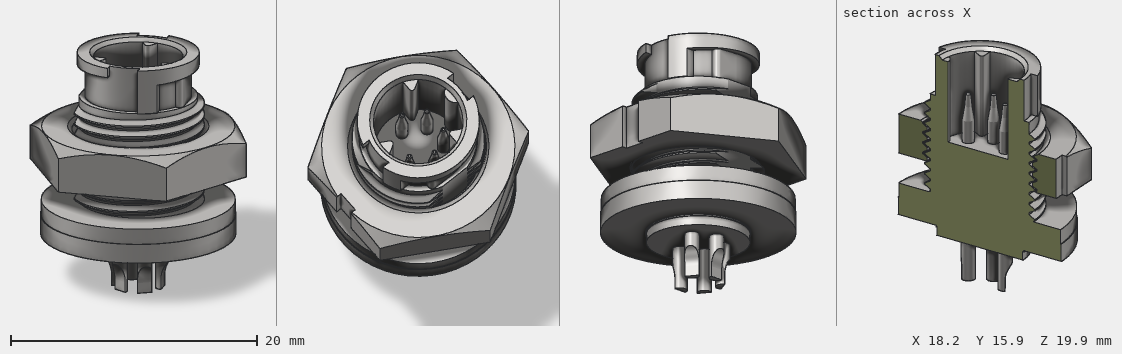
import cadquery as cq
import math

insert_bottom = 3.6
step_bottom = 4.35
flange_bottom = 4.48
washer_bottom = 6.07
washer_top = 7.35
nut_bottom = 10.02
nut_top = 13.58
shoulder_top = 16.21
mating_face = 19.89

insert_radius = 4.2
step_radius = 4.28
flange_radius = 7.94
washer_radius = 7.88

thread_root_radius = 4.81
thread_crest_radius = 5.37
thread_turns = 10
thread_rise = 9.09
thread_end_height = 15.7
thread_pitch = thread_rise / thread_turns
crest_half_width = 0.05
root_half_width = 0.38
thread_embed = 0.05
runout_length = 1.27
flat_distance = 4.63

bayonet_radius = 4.95
bayonet_core_radius = 4.34
entry_half_width = 1.25
post_end = 2.72
ramp_start_height = 18.6
ramp_end_height = 19.1
ramp_start_angle = -57.0
ramp_end_angle = 75.0
ramp_overrun = 4.0
detent_length = 2.2
detent_round = 0.38

bore_radius = 3.62
bore_chamfer = 0.32
cavity_depth = 7.55
key_tip_radius = 2.72
key_nose_radius = 0.25
key_half_angle = 30.0
key_angles = (90, 210, 330)
round_key_radius = 0.9
round_key_offset = 3.94

contact_circle = 2.07
contact_angles = (0, 120, 180, 240, 300)
contact_radius = 0.5
neck_radius = 0.3
contact_tip_radius = 0.2
contact_end_radius = 0.1
contact_tip_height = 16.69
contact_tip_round_height = 0.12
tip_length = 1.2
taper_length = 1.2
tail_radius = 0.6
tail_flat_height = 0.85
tail_scoop_radius = 2.3

nut_corner_diameter = 18.18
nut_flats = nut_corner_diameter * math.sqrt(3) / 2
nut_bore_radius = 5.1
nut_bore_mouth_radius = 5.73
nut_face_radius = 7.84
nut_chamfer_angle = 30.0
thread_clearance = 0.15
mark_width = 1.8
mark_depth = 0.45

overshoot = 0.2


def cylinder(radius, bottom, top):
    return cq.Workplane("XY").workplane(offset=bottom).circle(radius).extrude(top - bottom)


def cone(bottom_radius, top_radius, bottom, top):
    return (
        cq.Workplane("XY")
        .workplane(offset=bottom)
        .circle(bottom_radius)
        .workplane(offset=top - bottom)
        .circle(top_radius)
        .loft()
    )


def block(x_range, y_range, z_range):
    (x0, x1), (y0, y1), (z0, z1) = x_range, y_range, z_range
    return cq.Workplane("XY").box(x1 - x0, y1 - y0, z1 - z0, centered=False).translate((x0, y0, z0))


def turned(shape, angle):
    return shape.rotate((0, 0, 0), (0, 0, 1), angle)


def thread_ridge(clearance):
    """Right-hand helical ridge, moved outward by the radial clearance."""
    flank = (root_half_width - crest_half_width) / (thread_crest_radius - thread_root_radius)
    base_radius = thread_root_radius - thread_embed + clearance
    base_half = root_half_width + flank * thread_embed
    crest_radius = thread_crest_radius + clearance
    path = cq.Wire.makeHelix(thread_pitch, thread_rise, thread_root_radius)
    profile = cq.Workplane("XZ").polyline([
        (base_radius, -base_half),
        (crest_radius, -crest_half_width),
        (crest_radius, crest_half_width),
        (base_radius, base_half),
    ]).close()
    ridge = profile.sweep(cq.Workplane(path), isFrenet=True)
    return turned(ridge, 90).translate((0, 0, thread_end_height - thread_rise))


def base_disks():
    disks = cylinder(insert_radius, insert_bottom, step_bottom)
    disks = disks.union(cylinder(step_radius, step_bottom, flange_bottom))
    disks = disks.union(cylinder(flange_radius, flange_bottom, washer_bottom))
    return disks.union(cylinder(washer_radius, washer_bottom, washer_top))


def threaded_stud():
    runout_y = math.sqrt(thread_crest_radius**2 - runout_length**2)
    runout = (
        cq.Workplane("XY")
        .workplane(offset=thread_end_height - thread_pitch / 2)
        .polyline([
            (0, thread_root_radius),
            (runout_length, runout_y),
            (runout_length, thread_crest_radius + overshoot),
            (-overshoot, thread_crest_radius + overshoot),
            (-overshoot, thread_root_radius),
        ])
        .close()
        .extrude(thread_pitch)
    )
    stud = cylinder(thread_root_radius, washer_bottom, shoulder_top)
    stud = stud.union(thread_ridge(0).cut(runout))
    reach = 2 * thread_crest_radius
    flat = block((-reach, -flat_distance), (-reach, reach), (washer_top, shoulder_top))
    return stud.cut(flat)


def ramp_undercut():
    """Space below the locking ramp on the +X side; its ceiling rises from the post."""
    turn = ramp_end_angle - ramp_start_angle
    ramp_pitch = (ramp_end_height - ramp_start_height) * 360 / turn
    swept_angle = turn + 2 * ramp_overrun
    start_height = ramp_start_height - ramp_pitch * ramp_overrun / 360
    outside = bayonet_radius + overshoot
    path = cq.Wire.makeHelix(ramp_pitch, ramp_pitch * swept_angle / 360, bayonet_core_radius)
    depth = ramp_end_height - shoulder_top + overshoot
    profile = cq.Workplane("XZ").polyline([
        (bore_radius, 0),
        (outside, 0),
        (outside, -depth),
        (bore_radius, -depth),
    ]).close()
    space = profile.sweep(cq.Workplane(path), isFrenet=True)
    space = turned(space, ramp_start_angle - ramp_overrun).translate((0, 0, start_height))
    space = space.intersect(cylinder(outside + overshoot, shoulder_top, mating_face))
    post = block((0, post_end), (-outside, 0), (shoulder_top, mating_face))
    return space.cut(post).cut(cylinder(bayonet_core_radius, shoulder_top, mating_face))


def detent():
    """Square stop with one rounded corner beside the ramp on the +X side."""
    stop = block((0, bayonet_core_radius), (-detent_length, 0), (shoulder_top, ramp_start_height + overshoot))
    stop = stop.edges("|Z and >X and <Y").fillet(detent_round)
    return stop.cut(cylinder(bore_radius, shoulder_top, mating_face))



def bayonet():
    ring = cylinder(bayonet_radius, shoulder_top, mating_face)
    entries = block(
        (-entry_half_width, entry_half_width),
        (-flange_radius, flange_radius),
        (shoulder_top, mating_face),
    ).cut(cylinder(bayonet_core_radius, shoulder_top, mating_face))
    ring = ring.cut(entries)
    for angle in (0, 180):
        ring = ring.cut(turned(ramp_undercut(), angle))
        ring = ring.union(turned(detent(), angle))
    return ring


def cavity():
    floor = mating_face - cavity_depth
    rim = cone(bore_radius, bore_radius + bore_chamfer, mating_face - bore_chamfer, mating_face)
    return cylinder(bore_radius, floor, mating_face).union(rim)


def keys():
    floor = mating_face - cavity_depth
    length = cavity_depth - bore_chamfer
    half_angle = math.radians(key_half_angle)
    nose_centre = key_tip_radius + key_nose_radius
    tangent_x = nose_centre - key_nose_radius * math.sin(half_angle)
    tangent_y = key_nose_radius * math.cos(half_angle)
    base_x = bore_radius + overshoot
    base_y = tangent_y + (base_x - tangent_x) * math.tan(half_angle)
    wedge = (
        cq.Workplane("XY")
        .workplane(offset=floor)
        .moveTo(base_x, -base_y)
        .lineTo(tangent_x, -tangent_y)
        .threePointArc((key_tip_radius, 0), (tangent_x, tangent_y))
        .lineTo(base_x, base_y)
        .close()
        .extrude(length)
    )
    all_keys = cylinder(round_key_radius, floor, floor + length).translate((0, -round_key_offset, 0))
    for angle in key_angles:
        all_keys = all_keys.union(turned(wedge, angle))
    return all_keys.intersect(cylinder(bore_radius + overshoot, floor, mating_face))


def contact():
    """Pin and half-round solder tail on the +X side; the tail is cut away on its outer half."""
    neck_height = contact_tip_height - tip_length
    pin = (
        cq.Workplane("XZ")
        .polyline([
            (0, insert_bottom),
            (contact_radius, insert_bottom),
            (contact_radius, neck_height - taper_length),
            (neck_radius, neck_height),
            (contact_tip_radius, contact_tip_height - contact_tip_round_height),
            (contact_end_radius, contact_tip_height),
            (0, contact_tip_height),
        ])
        .close()
        .revolve(360, (0, 0, 0), (0, 1, 0))
    )
    tail = cylinder(tail_radius, 0, insert_bottom)
    scoop = (
        cq.Workplane("XZ")
        .center(tail_scoop_radius, tail_flat_height)
        .circle(tail_scoop_radius)
        .extrude(tail_radius, both=True)
    )
    flat = block((0, tail_radius), (-tail_radius, tail_radius), (0, tail_flat_height))
    return pin.union(tail.cut(scoop).cut(flat)).translate((contact_circle, 0, 0))


def make_housing():
    housing = base_disks().union(threaded_stud()).union(bayonet())
    housing = housing.cut(cavity()).union(keys())
    for angle in contact_angles:
        housing = housing.union(turned(contact(), angle))
    return housing


def nut_chamfer_drop(radial_width):
    return radial_width * math.tan(math.radians(nut_chamfer_angle))


def threaded_bore():
    bore = cylinder(nut_bore_radius, washer_top, shoulder_top)
    return bore.union(thread_ridge(thread_clearance))


def bore_mouth():
    depth = nut_chamfer_drop(nut_bore_mouth_radius - nut_bore_radius)
    return cone(nut_bore_radius, nut_bore_mouth_radius, nut_top - depth, nut_top)


def make_nut():
    height = nut_top - nut_bottom
    corner_radius = nut_corner_diameter / 2
    hexagon = cq.Workplane("XY").workplane(offset=nut_bottom).polygon(6, nut_corner_diameter).extrude(height)
    corner_drop = nut_chamfer_drop(corner_radius - nut_face_radius)
    envelope = (
        cq.Workplane("XZ")
        .polyline([
            (0, nut_bottom),
            (corner_radius, nut_bottom),
            (corner_radius, nut_top - corner_drop),
            (nut_face_radius, nut_top),
            (0, nut_top),
        ])
        .close()
        .revolve(360, (0, 0, 0), (0, 1, 0))
    )
    mark = block(
        (-mark_width / 2, mark_width / 2),
        (nut_flats / 2 - mark_depth, nut_flats / 2),
        (nut_bottom, nut_top),
    )
    return hexagon.intersect(envelope).cut(mark).cut(threaded_bore()).cut(bore_mouth())



housing = make_housing()
nut = make_nut()
result = cq.Compound.makeCompound([housing.solids().val(), nut.solids().val()])